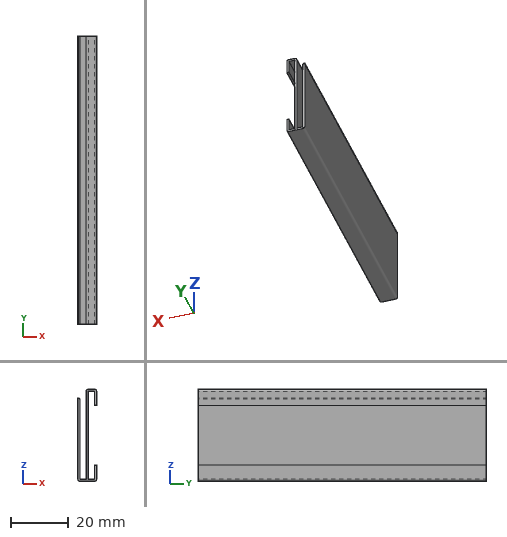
import cadquery as cq

length = 100.0
width = 6.6
height = 32.0
wall = 0.8
web_left = 2.9
lip_height = 5.6
plate_drop = 3.0
corner_radius = 0.8
plate_edge_chamfer = 0.5

left = -width / 2
right = width / 2
bottom = -height / 2
top = height / 2
web_x = left + web_left
plate_top = top - plate_drop


def bar(x_min, x_max, z_min, z_max):
    """Rectangular wall running the full length of the rail."""
    return cq.Workplane("XY").box(
        x_max - x_min, length, z_max - z_min, centered=False
    ).translate((x_min, -length / 2, z_min))


def edge_at(x, z):
    """Selector for the lengthwise edge through the given profile corner."""
    reach = 0.05
    return cq.selectors.BoxSelector(
        (x - reach, -length, z - reach), (x + reach, length, z + reach)
    )


plate = bar(left, left + wall, bottom, plate_top)
base = bar(left, right, bottom, bottom + wall)
web = bar(web_x, web_x + wall, bottom, top)
cap = bar(web_x, right, top - wall, top)
lower_lip = bar(right - wall, right, bottom, bottom + lip_height)
upper_lip = bar(right - wall, right, top - lip_height, top)
rail = plate.union(base).union(web).union(cap).union(lower_lip).union(upper_lip)

for corner_x, corner_z in [(left, bottom), (right, bottom), (web_x, top), (right, top)]:
    rail = rail.edges(edge_at(corner_x, corner_z)).fillet(corner_radius)

result = rail.edges(edge_at(left + wall, plate_top)).chamfer(plate_edge_chamfer)